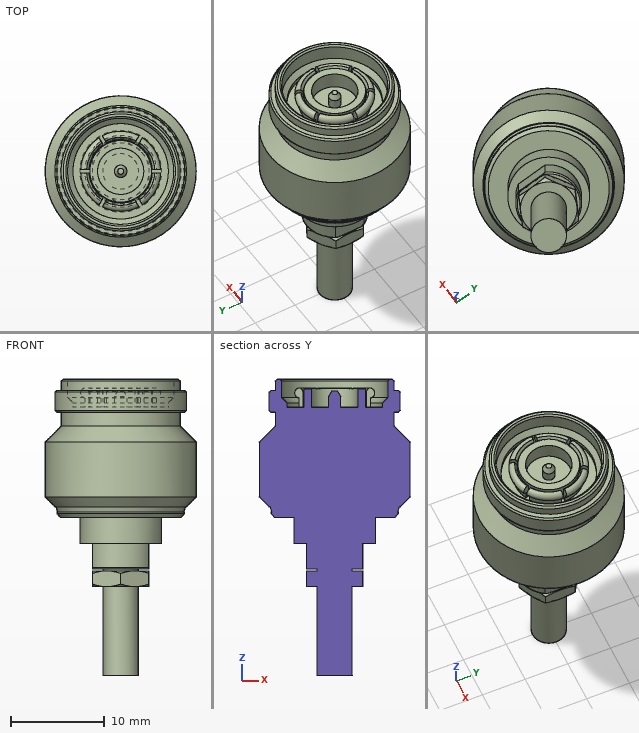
import cadquery as cq
import math

total_height = 31.75
nut_bottom = 9.52
nut_top = 11.2
sleeve_bottom = 11.4
hub_bottom = 14.13
ring_bottom = 16.92
ring_lip_bottom = 17.37
ring_lip_top = 17.5
ring_top = 18.05
body_bottom = 19.1
collar_bottom = 28.2
collar_top = 30.55

cable_radius = 1.9
sleeve_radius = 3.52
hub_radius = 4.38
ring_bottom_radius = 6.48
ring_lip_radius = 6.85
ring_groove_radius = 6.75
ring_top_radius = 6.95
body_radius = 8.1
neck_radius = 6.38
collar_radius = 7.05

body_top = 25.02
shoulder_top = body_top + body_radius - neck_radius
body_bottom_radius = body_radius - (body_bottom - ring_top)

rim_chamfer = 0.22
collar_chamfer = 0.2
sleeve_chamfer = 0.15

flat_width = 6.05
nut_chamfer_angle = 30.0

bore_radius = 5.68
mouth_chamfer = 0.2
seat_top = 29.78
seat_radius = 5.1
seat_bottom = seat_top - (bore_radius - seat_radius)
socket_floor = 28.73

insulator_radius = 3.3
insulator_top = 30.73
insulator_bore_radius = 2.48
pin_radius = 0.67
pin_tip_radius = 0.32
pin_shoulder = 29.9
pin_top = 30.48

finger_top = 30.8
finger_bore_radius = 3.4
finger_crest_radius = 3.85
finger_lip_radius = 3.65
finger_bead_depth = 0.45
finger_bead_height = 1.08
finger_lead_in = 0.35
finger_slot_count = 6
finger_slot_width = 0.4


def cylinder(radius, bottom, top):
    return cq.Workplane("XY").workplane(offset=bottom).circle(radius).extrude(top - bottom)


def revolve_half_section(section):
    """Turn a closed (radius, height) section around the Z axis."""
    return section.close().revolve(360, (0, 0, 0), (0, 1, 0))


def make_housing():
    """Hub, retaining ring, body, neck and collar as one turned piece."""
    outline = [
        (0, hub_bottom),
        (hub_radius, hub_bottom),
        (hub_radius, ring_bottom),
        (ring_bottom_radius, ring_bottom),
        (ring_lip_radius, ring_lip_bottom),
        (ring_lip_radius, ring_lip_top),
        (ring_groove_radius, ring_lip_top),
        (ring_top_radius, ring_top),
        (body_bottom_radius, ring_top),
        (body_radius, body_bottom),
        (body_radius, body_top),
        (neck_radius, shoulder_top),
        (neck_radius, collar_bottom),
        (collar_radius - collar_chamfer, collar_bottom),
        (collar_radius, collar_bottom + collar_chamfer),
        (collar_radius, collar_top - collar_chamfer),
        (collar_radius - collar_chamfer, collar_top),
        (neck_radius, collar_top),
        (neck_radius, total_height - rim_chamfer),
        (neck_radius - rim_chamfer, total_height),
        (0, total_height),
    ]
    return revolve_half_section(cq.Workplane("XZ").polyline(outline))


def make_socket():
    """Cavity with a chamfered mouth and a 45 degree seat above its floor."""
    outline = [
        (0, socket_floor),
        (seat_radius, socket_floor),
        (seat_radius, seat_bottom),
        (bore_radius, seat_top),
        (bore_radius, total_height - mouth_chamfer),
        (bore_radius + mouth_chamfer, total_height),
        (0, total_height),
    ]
    return revolve_half_section(cq.Workplane("XZ").polyline(outline))


def make_insulator():
    tube = cylinder(insulator_radius, socket_floor, insulator_top)
    return tube.cut(cylinder(insulator_bore_radius, socket_floor, insulator_top))


def make_pin():
    outline = [
        (0, socket_floor),
        (pin_radius, socket_floor),
        (pin_radius, pin_shoulder),
        (pin_tip_radius, pin_top),
        (0, pin_top),
    ]
    return revolve_half_section(cq.Workplane("XZ").polyline(outline))


def make_fingers():
    """Ring with a rounded outer bead, split into equal fingers by radial slots."""
    ring = revolve_half_section(
        cq.Workplane("XZ")
        .moveTo(finger_bore_radius, socket_floor)
        .lineTo(finger_crest_radius, socket_floor)
        .lineTo(finger_crest_radius, finger_top - finger_bead_height)
        .threePointArc(
            (finger_crest_radius + finger_bead_depth, finger_top - finger_bead_height / 2),
            (finger_crest_radius, finger_top),
        )
        .lineTo(finger_lip_radius, finger_top)
        .lineTo(finger_bore_radius, finger_top - finger_lead_in)
    )
    slot_height = finger_top - socket_floor
    slot = cq.Workplane("XY").workplane(offset=socket_floor).center(seat_radius / 2, 0)
    slot = slot.rect(seat_radius, finger_slot_width).extrude(slot_height)
    for index in range(finger_slot_count):
        ring = ring.cut(slot.rotate((0, 0, 0), (0, 0, 1), index * 360 / finger_slot_count))
    return ring


def make_sleeve():
    """Round sleeve with two wrench flats facing -X and +X."""
    sleeve = cylinder(sleeve_radius, sleeve_bottom, hub_bottom)
    sleeve = sleeve.faces("<Z").edges().chamfer(sleeve_chamfer)
    flats = cq.Workplane("XY").workplane(offset=sleeve_bottom)
    flats = flats.rect(flat_width, 2 * sleeve_radius).extrude(hub_bottom - sleeve_bottom)
    return sleeve.intersect(flats)


def make_nut():
    """Hexagonal nut with corners on the Y axis and both ends chamfered."""
    corner_radius = flat_width / math.sqrt(3)
    chamfer_radius = flat_width / 2
    chamfer_drop = (corner_radius - chamfer_radius) * math.tan(math.radians(nut_chamfer_angle))
    hexagon = cq.Workplane("XY").workplane(offset=nut_bottom).polygon(6, 2 * corner_radius)
    hexagon = hexagon.extrude(nut_top - nut_bottom).rotate((0, 0, 0), (0, 0, 1), 90)
    envelope = [
        (0, nut_bottom),
        (chamfer_radius, nut_bottom),
        (corner_radius, nut_bottom + chamfer_drop),
        (corner_radius, nut_top - chamfer_drop),
        (chamfer_radius, nut_top),
        (0, nut_top),
    ]
    return hexagon.intersect(revolve_half_section(cq.Workplane("XZ").polyline(envelope)))


result = make_housing().cut(make_socket())
result = result.union(make_insulator())
result = result.union(make_fingers())
result = result.union(make_pin())
result = result.union(make_sleeve())
result = result.union(cylinder(cable_radius, 0, hub_bottom))
result = result.union(make_nut())